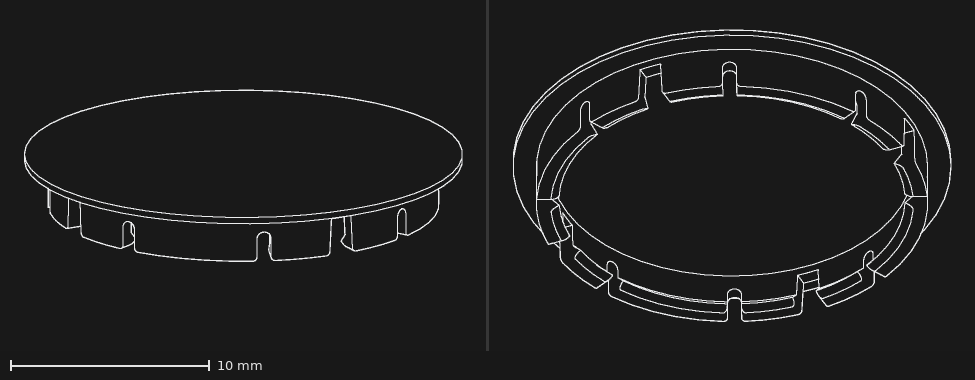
import cadquery as cq
import math

cap_radius = 11.02
total_height = 4.2
rim_bottom = 2.34
rim_top = 2.67

skirt_radius = 19.7 / 2
skirt_inner_radius = 9.13
bead_radius = 8.7
bead_peak_height = 0.26
bead_top_height = 0.7

wide_slot_top = 1.92
wide_slot_top_width = 1.12
wide_slot_bottom_width = 1.3

narrow_slot_top = 1.52
narrow_slot_width = 0.7
narrow_slot_angle = 24.0

corner_radius = 0.22
quarter_turn = 90


def make_cap():
    """Solid disc with a straight rim and a spherical top."""
    rise = total_height - rim_top
    sphere_radius = (cap_radius**2 + rise**2) / (2 * rise)
    middle_radius = cap_radius / 2
    middle_height = total_height - sphere_radius + math.sqrt(sphere_radius**2 - middle_radius**2)
    return (
        cq.Workplane("XZ")
        .moveTo(0, rim_bottom)
        .lineTo(cap_radius, rim_bottom)
        .lineTo(cap_radius, rim_top)
        .threePointArc((middle_radius, middle_height), (0, total_height))
        .close()
        .revolve(360, (0, 0, 0), (0, 1, 0))
    )


def make_skirt():
    """Ring wall whose inner face swells into a bead near the bottom."""
    return (
        cq.Workplane("XZ")
        .moveTo(skirt_radius, 0)
        .lineTo(skirt_radius, rim_top)
        .lineTo(skirt_inner_radius, rim_top)
        .lineTo(skirt_inner_radius, bead_top_height)
        .lineTo(bead_radius, bead_peak_height)
        .lineTo(skirt_inner_radius, 0)
        .close()
        .revolve(360, (0, 0, 0), (0, 1, 0))
    )


def flared_slot_base(half_width):
    """Start a slot outline at its left foot, rounding the tab corner."""
    diagonal = corner_radius * (1 - math.sqrt(0.5))
    return (
        cq.Workplane("XZ")
        .moveTo(-half_width - corner_radius, 0)
        .threePointArc((-half_width - diagonal, diagonal), (-half_width, corner_radius))
    )


def close_slot(outline, half_width):
    """Finish a slot outline at its right foot and extend it toward -Y."""
    diagonal = corner_radius * (1 - math.sqrt(0.5))
    return (
        outline.lineTo(half_width, corner_radius)
        .threePointArc((half_width + diagonal, diagonal), (half_width + corner_radius, 0))
        .close()
        .extrude(cap_radius)
    )


def make_wide_slot():
    half_bottom = wide_slot_bottom_width / 2
    half_top = wide_slot_top_width / 2
    outline = (
        flared_slot_base(half_bottom)
        .lineTo(-half_top, wide_slot_top)
        .lineTo(half_top, wide_slot_top)
    )
    return close_slot(outline, half_bottom)


def make_narrow_slot():
    half_width = narrow_slot_width / 2
    arc_start = narrow_slot_top - half_width
    outline = (
        flared_slot_base(half_width)
        .lineTo(-half_width, arc_start)
        .threePointArc((0, narrow_slot_top), (half_width, arc_start))
    )
    return close_slot(outline, half_width)


def turned(body, angle):
    return body.rotate((0, 0, 0), (0, 0, 1), angle)


wide_slot = make_wide_slot()
narrow_slot = make_narrow_slot()
skirt = make_skirt()
for quarter in range(4):
    center_angle = quarter * quarter_turn
    skirt = skirt.cut(turned(wide_slot, center_angle))
    for side in (-1, 1):
        skirt = skirt.cut(turned(narrow_slot, center_angle + side * narrow_slot_angle))

result = make_cap().union(skirt)